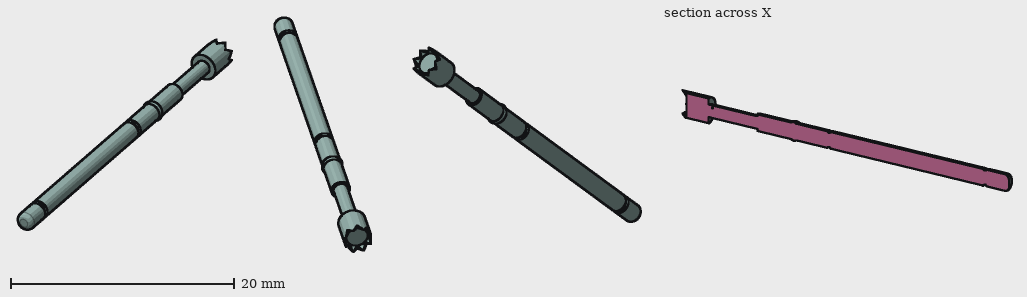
import cadquery as cq
import math


total_length = 34.0

head_diameter = 2.5
head_length = 3.0
tooth_count = 8
tooth_depth = 0.65
cup_floor_radius = 0.98

plunger_diameter = 1.3
plunger_length = 5.0

barrel_diameter = 1.7
barrel_end_radius = 0.45
barrel_length = total_length - head_length - plunger_length

ring_diameter = 1.9
ring_width = 0.5
ring_center = 22.25

groove_width = 0.4
groove_depth = 0.13
groove_centers = (2.5, 18.6)

head_radius = head_diameter / 2
barrel_radius = barrel_diameter / 2


def rod(diameter, start, length):
    """Cylinder on the Y axis running from Y = start towards +Y."""
    base = cq.Workplane("XZ", origin=(0, start, 0))
    return base.circle(diameter / 2).extrude(-length)


def revolve_about_axis(profile):
    """Revolve an XY profile (X = radius) around the Y axis."""
    return profile.revolve(360, (0, 0, 0), (0, 1, 0))


def make_barrel():
    barrel = rod(barrel_diameter, 0, barrel_length)
    return barrel.faces("<Y").edges().fillet(barrel_end_radius)


def make_stop_ring():
    """Ring with a convex arc section standing proud of the barrel."""
    lower = ring_center - ring_width / 2
    upper = ring_center + ring_width / 2
    profile = (
        cq.Workplane("XY")
        .moveTo(0, lower)
        .lineTo(barrel_radius, lower)
        .threePointArc((ring_diameter / 2, ring_center), (barrel_radius, upper))
        .lineTo(0, upper)
        .close()
    )
    return revolve_about_axis(profile)


def make_crimp_groove(center):
    """Ring-shaped cutter with a V section, its point towards the axis."""
    half_width = groove_width / 2
    profile = cq.Workplane("XY").polyline([
        (barrel_radius, center - half_width),
        (barrel_radius - groove_depth, center),
        (barrel_radius, center + half_width),
    ]).close()
    return revolve_about_axis(profile)


def make_tip_cup():
    """Conical recess inside the teeth, reaching the rim at the tips and as deep as the V grooves."""
    profile = cq.Workplane("XY").polyline([
        (0, total_length),
        (head_radius, total_length),
        (cup_floor_radius, total_length - tooth_depth),
        (0, total_length - tooth_depth),
    ]).close()
    return revolve_about_axis(profile)


def make_head():
    """Cupped head whose teeth are left between V grooves cut across the full diameter."""
    head = rod(head_diameter, total_length - head_length, head_length).cut(make_tip_cup())
    half_pitch_angle = math.pi / tooth_count
    groove_half_width = head_radius * math.sin(half_pitch_angle)
    v_groove = (
        cq.Workplane("XY")
        .polyline([
            (-groove_half_width, total_length),
            (0, total_length - tooth_depth),
            (groove_half_width, total_length),
        ])
        .close()
        .extrude(head_diameter, both=True)
    )
    for index in range(tooth_count // 2):
        angle = index * 360 / tooth_count
        head = head.cut(v_groove.rotate((0, 0, 0), (0, 1, 0), angle))
    return head


plunger = rod(plunger_diameter, barrel_length, plunger_length)

result = make_barrel().union(make_stop_ring())
for groove_center in groove_centers:
    result = result.cut(make_crimp_groove(groove_center))
result = result.union(plunger).union(make_head())